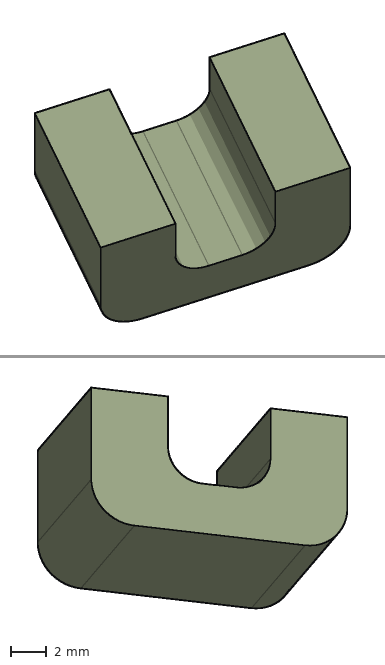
import cadquery as cq

width = 15.0
length = 10.0
height = 8.0

slot_width = 6.0
slot_depth = 5.0
slot_corner_radius = 2.0

outer_corner_radius = 2.5


def make_body():
    """Block with its two bottom edges along X rounded, base on Z = 0."""
    block = cq.Workplane("XY").box(length, width, height, centered=(True, True, False))
    return block.faces("<Z").edges("|X").fillet(outer_corner_radius)


def make_slot():
    """Cutter for the slot, with rounded floor corners."""
    cutter = cq.Workplane("XY").box(length, slot_width, slot_depth, centered=(True, True, False))
    cutter = cutter.faces("<Z").edges("|X").fillet(slot_corner_radius)
    return cutter.translate((0, 0, height - slot_depth))


result = make_body().cut(make_slot())